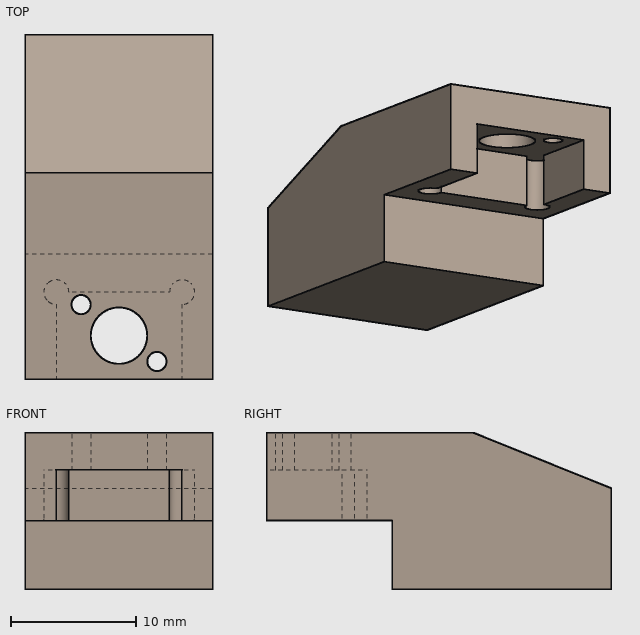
import cadquery as cq

width = 15.0
length = 27.5
height = 12.5

overhang_length = 10.0
foot_height = 5.5
slope_length = 11.0
slope_drop = 4.43

pocket_width = 10.05
roof_thickness = 2.97
relief_radius = 1.0

large_hole_diameter = 4.48
large_hole_y = 3.5
small_hole_diameter = 1.5
small_hole_offset_x = 3.02
left_hole_y = 5.97
right_hole_y = 1.43

pocket_length = 2 * large_hole_y
roof_underside = height - roof_thickness
pocket_height = roof_underside - foot_height


def make_body():
    """Block with a front overhang and a sloping rear top, extruded across the width."""
    outline = [
        (0, foot_height),
        (overhang_length, foot_height),
        (overhang_length, 0),
        (length, 0),
        (length, height - slope_drop),
        (length - slope_length, height),
        (0, height),
    ]
    return cq.Workplane("YZ").polyline(outline).close().extrude(width / 2, both=True)


def make_pocket():
    """Channel open at the front and below, with round reliefs centred on its rear corners."""
    floor = cq.Workplane("XY", origin=(0, 0, foot_height))
    channel = floor.rect(pocket_width, 2 * pocket_length).extrude(pocket_height)
    rear_corners = [(side * pocket_width / 2, pocket_length) for side in (-1, 1)]
    reliefs = floor.pushPoints(rear_corners).circle(relief_radius).extrude(pocket_height)
    return channel.union(reliefs)


def make_holes():
    """Vertical cutters for the three holes through the roof."""
    base = cq.Workplane("XY", origin=(0, 0, roof_underside))
    large_hole = base.center(0, large_hole_y).circle(large_hole_diameter / 2).extrude(roof_thickness)
    small_centres = [
        (-small_hole_offset_x, left_hole_y),
        (small_hole_offset_x, right_hole_y),
    ]
    small_holes = base.pushPoints(small_centres).circle(small_hole_diameter / 2).extrude(roof_thickness)
    return large_hole.union(small_holes)


result = make_body().cut(make_pocket()).cut(make_holes())